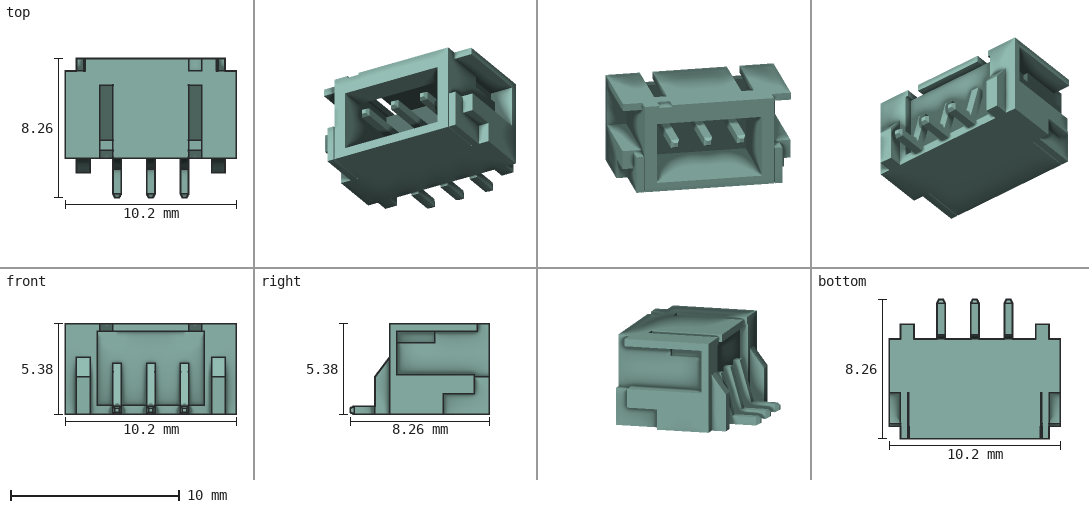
import cadquery as cq


width = 10.15
depth = 5.92
overall_length = 8.26
height = 5.38
half_width = width / 2
roof_thickness = 0.44
roof_underside = height - roof_thickness
core_half_width = 3.91
roof_side_depth = 5.19
front_thickness = 0.43

block_depth = 5.03
block_height = 2.36
block_notch_start = 3.19
block_notch_height = 1.23

pocket_end = 2.69
pocket_bottom = 4.25
pocket_depth = 0.3

cavity_half_width = 3.18
cavity_floor = 0.54
pin_wall_front = 0.48
pin_wall_back = 1.07
lintel_front = 4.34
lintel_underside = 4.25

slot_inner = 2.25
slot_outer = 3.02
mark_depth = 0.12

tab_outer = 4.41
tab_thickness = 0.44
tab_height = 2.24
tab_reach = 0.87
foot_width = 0.81
foot_top = 3.39

pin_count = 3
pin_pitch = 2.0
pin_size = 0.5
pin_top = 3.03
pin_bottom = pin_top - pin_size
pin_front = depth - overall_length
pin_back = 5.75
tip_length = 0.24
tip_size = 0.26
bend_top_y = 0.075
bend_low_y = -0.64
heel_y = -0.25
elbow_y = 0.46


def box(x0, x1, y0, y1, z0, z1):
    """Box spanning the given coordinate ranges."""
    return cq.Workplane("XY").box(x1 - x0, y1 - y0, z1 - z0, centered=False).translate((x0, y0, z0))


def both_sides(right_half):
    """The given right-hand shape together with its mirror image."""
    return right_half.union(right_half.mirror("YZ"))


def side_profile(points, x0, x1):
    """Prism with a (Y, Z) outline, spanning x0 to x1."""
    return cq.Workplane("YZ").polyline(points).close().extrude(x1 - x0).translate((x0, 0, 0))


def make_shell():
    core = box(-core_half_width, core_half_width, 0, depth, 0, height)
    roof = box(-half_width, half_width, 0, roof_side_depth, roof_underside, height)
    front = box(-half_width, half_width, 0, front_thickness, 0, height)
    block_outline = [
        (0, 0),
        (block_notch_start, 0),
        (block_notch_start, block_notch_height),
        (block_depth, block_notch_height),
        (block_depth, block_height),
        (0, block_height),
    ]
    blocks = side_profile(block_outline, -half_width, half_width)
    return core.union(roof).union(front).union(blocks)


def make_openings():
    recess = box(-cavity_half_width, cavity_half_width, 0, pin_wall_front, cavity_floor, roof_underside)
    cavity = box(-cavity_half_width, cavity_half_width, pin_wall_back, lintel_front,
                 cavity_floor, roof_underside)
    mouth = box(-cavity_half_width, cavity_half_width, lintel_front, depth, cavity_floor, lintel_underside)
    slot = box(slot_inner, slot_outer, 0, lintel_front, roof_underside, height)
    pocket = box(core_half_width - pocket_depth, core_half_width, front_thickness, pocket_end,
                 pocket_bottom, roof_underside)
    mark = box(slot_inner, slot_outer, roof_side_depth, depth, height - mark_depth, height)
    return recess.union(cavity).union(mouth).union(both_sides(slot.union(pocket))).union(mark)


def make_tabs():
    strip = box(tab_outer - tab_thickness, tab_outer, 0, depth, 0, tab_height)
    foot_outline = [
        (0, 0),
        (-tab_reach, 0),
        (-tab_reach, tab_height),
        (0, foot_top),
    ]
    foot = side_profile(foot_outline, tab_outer - foot_width, tab_outer)
    return both_sides(strip.union(foot))


def make_tip(y_base, y_end, z_center):
    """Tapered square pin end between two Y positions."""
    length = y_base - y_end
    return (
        cq.Workplane("XZ", origin=(0, y_base, z_center))
        .rect(pin_size, pin_size)
        .workplane(offset=length)
        .rect(tip_size, tip_size)
        .loft(ruled=True)
    )


def make_pin():
    front_shoulder = pin_front + tip_length
    back_shoulder = pin_back - tip_length
    outline = [
        (front_shoulder, 0),
        (heel_y, 0),
        (elbow_y, pin_bottom),
        (back_shoulder, pin_bottom),
        (back_shoulder, pin_top),
        (bend_top_y, pin_top),
        (bend_low_y, pin_size),
        (front_shoulder, pin_size),
    ]
    shank = side_profile(outline, -pin_size / 2, pin_size / 2)
    solder_tip = make_tip(front_shoulder, pin_front, pin_size / 2)
    mating_tip = make_tip(back_shoulder, pin_back, pin_top - pin_size / 2)
    return shank.union(solder_tip).union(mating_tip)


result = make_shell().cut(make_openings()).union(make_tabs())
for index in range(pin_count):
    pin_x = (index - (pin_count - 1) / 2) * pin_pitch
    result = result.union(make_pin().translate((pin_x, 0, 0)))